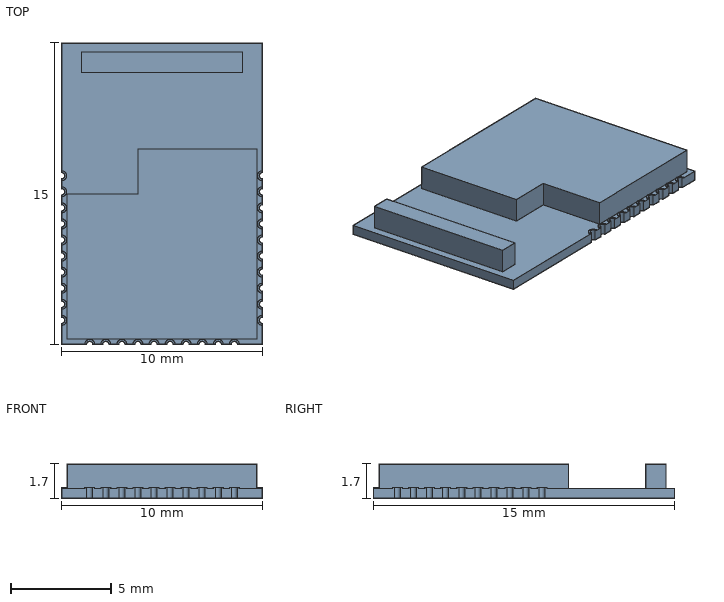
import cadquery as cq

board_width = 10.0
board_length = 15.0
board_thickness = 0.5
total_height = 1.7

hole_radius = 0.15
pad_radius = 0.25
pad_height = 0.05
pitch = 0.8
holes_per_edge = 10
side_row_start = 1.2

can_margin = 0.28
can_side = board_width - 2 * can_margin
can_notch_width = 3.52
can_notch_length = 2.22

antenna_width = 8.0
antenna_length = 1.02
antenna_back_margin = 0.43

right_edge = board_width / 2
left_edge = -right_edge
back_edge = board_length / 2
front_edge = -back_edge
component_height = total_height - board_thickness


def castellation_centers():
    """Centres of all the half holes, lying on the board edges."""
    row_span = (holes_per_edge - 1) * pitch
    centers = []
    for index in range(holes_per_edge):
        offset = index * pitch
        side_y = front_edge + side_row_start + offset
        centers.append((left_edge, side_y))
        centers.append((right_edge, side_y))
        centers.append((offset - row_span / 2, front_edge))
    return centers


def on_board():
    """Workplane on the upper face of the board."""
    return cq.Workplane("XY").workplane(offset=board_thickness)


def make_board():
    """Board with raised half-ring pads around the half holes in its edges."""
    centers = castellation_centers()
    stack_height = board_thickness + pad_height
    board = cq.Workplane("XY").rect(board_width, board_length).extrude(board_thickness)
    envelope = cq.Workplane("XY").rect(board_width, board_length).extrude(stack_height)
    pads = cq.Workplane("XY").pushPoints(centers).circle(pad_radius).extrude(stack_height)
    holes = cq.Workplane("XY").pushPoints(centers).circle(hole_radius).extrude(stack_height)
    return board.union(pads.intersect(envelope)).cut(holes)


def make_shield_can():
    """Solid shield can, set in from the front and side edges of the board."""
    can_left = left_edge + can_margin
    can_right = can_left + can_side
    can_front = front_edge + can_margin
    can_back = can_front + can_side
    notch_x = can_left + can_notch_width
    notch_y = can_back - can_notch_length
    outline = [
        (can_left, can_front),
        (can_right, can_front),
        (can_right, can_back),
        (notch_x, can_back),
        (notch_x, notch_y),
        (can_left, notch_y),
    ]
    return on_board().polyline(outline).close().extrude(component_height)


def make_antenna():
    """Rectangular antenna block, centred across the board."""
    center_y = back_edge - antenna_back_margin - antenna_length / 2
    return on_board().center(0, center_y).rect(antenna_width, antenna_length).extrude(component_height)


result = make_board().union(make_shield_can()).union(make_antenna())